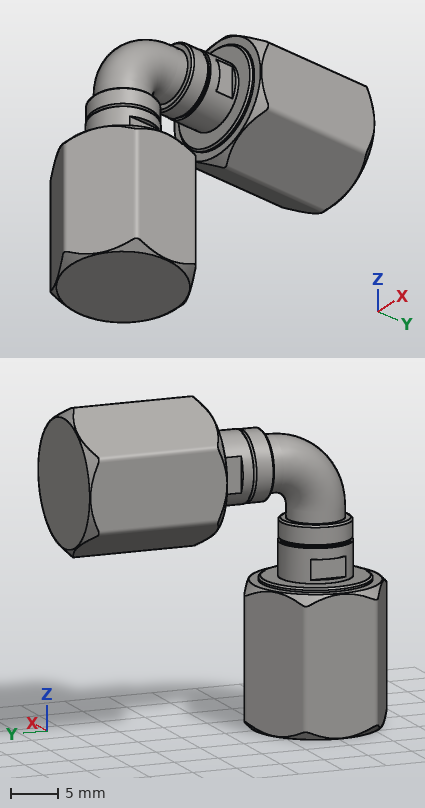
import cadquery as cq
import math


overall_size = 36.85

across_flats = 14.22
corner_radius = 0.75
end_chamfer_radius = 7.05
envelope_overrun = 0.37
collar_radius = 6.05
collar_height = 0.45
collar_chamfer = 0.22

tube_radius = 3.15
bend_radius = 4.95
ring_radius = 3.95
ring_chamfer = 0.22
hub_diameter = 8.0
hub_radius = hub_diameter / 2
ring_depth = 6.25
groove_depth = 8.6
hub_depth = 8.75
collar_depth = 12.55

flat_distance = 3.45
flat_start_depth = 9.95
flat_length = 2.2

sharp_corner_radius = across_flats / 2 / math.cos(math.pi / 6)
nut_outer_radius = sharp_corner_radius - corner_radius * (1 / math.cos(math.pi / 6) - 1)
nut_end_depth = overall_size - nut_outer_radius
hex_depth = collar_depth + collar_height
hex_length = nut_end_depth - hex_depth

leg_angles = [0, 90]


def turn_to_leg(body, angle):
    """Turn a body built on the downward leg onto the leg at the given angle."""
    return body.rotate((0, 0, 0), (1, 0, 0), angle)


def end_chamfer_envelope():
    """Solid of revolution that keeps the hexagon inside a 45 degree cone at both ends."""
    reach = sharp_corner_radius + envelope_overrun
    slope = reach - end_chamfer_radius
    profile = [
        (0, -hex_depth),
        (end_chamfer_radius, -hex_depth),
        (reach, -hex_depth - slope),
        (reach, -nut_end_depth + slope),
        (end_chamfer_radius, -nut_end_depth),
        (0, -nut_end_depth),
    ]
    return cq.Workplane("XZ").polyline(profile).close().revolve(360, (0, 0), (0, 1))


def make_nut():
    """Hexagon nut below the downward leg, corners toward +Y and -Y, with a round collar on top."""
    hexagon = (
        cq.Workplane("XY")
        .workplane(offset=-nut_end_depth)
        .transformed(rotate=(0, 0, 90))
        .polygon(6, 2 * sharp_corner_radius)
        .extrude(hex_length)
        .edges("|Z")
        .fillet(corner_radius)
        .intersect(end_chamfer_envelope())
    )
    collar = (
        cq.Workplane("XY")
        .workplane(offset=-hex_depth)
        .circle(collar_radius)
        .extrude(collar_height)
        .faces(">Z")
        .chamfer(collar_chamfer)
    )
    return hexagon.union(collar)


def make_leg():
    """Straight leg of the elbow: tube stub, ring chamfered on both rims, groove and hub with wrench flats."""
    profile = [
        (0, -bend_radius),
        (tube_radius, -bend_radius),
        (tube_radius, -ring_depth),
        (ring_radius - ring_chamfer, -ring_depth),
        (ring_radius, -ring_depth - ring_chamfer),
        (ring_radius, -groove_depth + ring_chamfer),
        (ring_radius - ring_chamfer, -groove_depth),
        (ring_radius - ring_chamfer, -hub_depth),
        (hub_radius, -hub_depth),
        (hub_radius, -collar_depth),
        (0, -collar_depth),
    ]
    leg = cq.Workplane("XZ").polyline(profile).close().revolve(360, (0, 0), (0, 1))
    for side in (-1, 1):
        pocket = cq.Workplane("XY").box(hub_radius, 2 * hub_radius, flat_length).translate(
            (side * (flat_distance + hub_radius / 2), 0, -flat_start_depth - flat_length / 2)
        )
        leg = leg.cut(pocket)
    return leg


def make_elbow():
    """One solid elbow: a quarter bend with a straight leg at each end."""
    elbow = (
        cq.Workplane("XY")
        .workplane(offset=-bend_radius)
        .circle(tube_radius)
        .revolve(90, (0, bend_radius), (-1, bend_radius))
    )
    for angle in leg_angles:
        elbow = elbow.union(turn_to_leg(make_leg(), angle))
    return elbow


elbow = make_elbow()
nuts = [turn_to_leg(make_nut(), angle) for angle in leg_angles]

result = cq.Compound.makeCompound([elbow.solids().val(), *[nut.solids().val() for nut in nuts]])